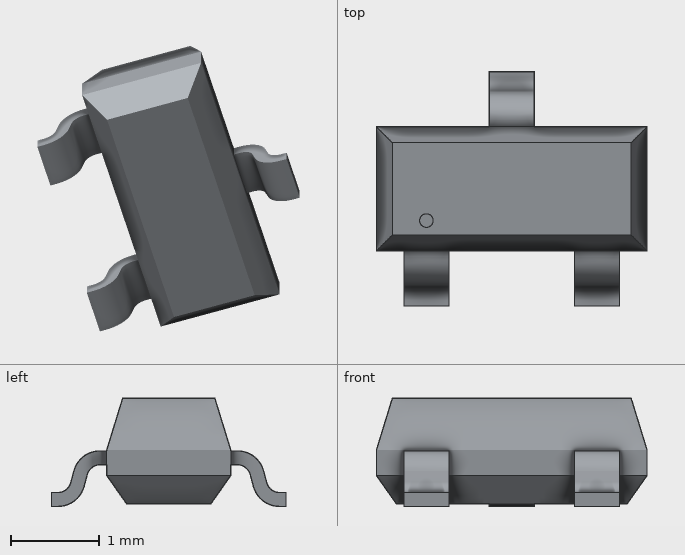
import cadquery as cq
import math

length = 3.05
span = 2.64
height = 1.22

housing_depth = 1.4
standoff = 0.03
waist_bottom = 0.35
waist_top = 0.635
top_inset = 0.18
bottom_inset = 0.225

lead_width = 0.51
lead_thickness = 0.16
lead_top = 0.628
lead_pitch = 0.96
bend_inner_radius = 0.15
bend_angle = math.radians(75)

marker_diameter = 0.152
marker_depth = 0.03
marker_x = -lead_pitch
marker_y = -0.357


def make_taper(z_wide, z_narrow, inset):
    """Frustum from the waist outline to a smaller rectangle, inset on every side."""
    return (
        cq.Workplane("XY", origin=(0, 0, z_wide))
        .rect(length, housing_depth)
        .workplane(offset=z_narrow - z_wide)
        .rect(length - 2 * inset, housing_depth - 2 * inset)
        .loft(ruled=True)
    )


def make_marker():
    return (
        cq.Workplane("XY", origin=(marker_x, marker_y, height))
        .circle(marker_diameter / 2)
        .extrude(-marker_depth)
    )


def make_housing():
    waist = (
        cq.Workplane("XY", origin=(0, 0, waist_bottom))
        .rect(length, housing_depth)
        .extrude(waist_top - waist_bottom)
    )
    upper = make_taper(waist_top, height, top_inset)
    lower = make_taper(waist_bottom, standoff, bottom_inset)
    return waist.union(upper).union(lower).cut(make_marker())


def make_lead():
    """Lead at X = 0 that leaves the +Y wall of the housing and steps down to its foot."""
    inner = bend_inner_radius
    outer = inner + lead_thickness
    wall = housing_depth / 2
    tip = span / 2

    drop = lead_top - lead_thickness
    slope = (drop - (outer + inner) * (1 - math.cos(bend_angle))) / math.sin(bend_angle)
    bends_reach = (outer + inner) * math.sin(bend_angle) + slope * math.cos(bend_angle)
    flat = (tip - wall - bends_reach) / 2

    upper_center = (wall + flat, lead_top - outer)
    lower_center = (tip - flat, outer)

    def upper_point(radius, angle):
        return (
            upper_center[0] + radius * math.sin(angle),
            upper_center[1] + radius * math.cos(angle),
        )

    def lower_point(radius, angle):
        return (
            lower_center[0] - radius * math.sin(angle),
            lower_center[1] - radius * math.cos(angle),
        )

    half = bend_angle / 2
    return (
        cq.Workplane("YZ", origin=(-lead_width / 2, 0, 0))
        .moveTo(wall, lead_top)
        .lineTo(*upper_point(outer, 0))
        .threePointArc(upper_point(outer, half), upper_point(outer, bend_angle))
        .lineTo(*lower_point(inner, bend_angle))
        .threePointArc(lower_point(inner, half), lower_point(inner, 0))
        .lineTo(tip, lead_thickness)
        .lineTo(tip, 0)
        .lineTo(*lower_point(outer, 0))
        .threePointArc(lower_point(outer, half), lower_point(outer, bend_angle))
        .lineTo(*upper_point(inner, bend_angle))
        .threePointArc(upper_point(inner, half), upper_point(inner, 0))
        .lineTo(wall, lead_top - lead_thickness)
        .close()
        .extrude(lead_width)
    )


housing = make_housing()
marker = make_marker()

leads = [make_lead()]
for x in (-lead_pitch, lead_pitch):
    front_lead = make_lead().rotate((0, 0, 0), (0, 0, 1), 180).translate((x, 0, 0))
    leads.append(front_lead)

result = cq.Compound.makeCompound(
    [housing.val(), marker.val(), *[lead.val() for lead in leads]]
)